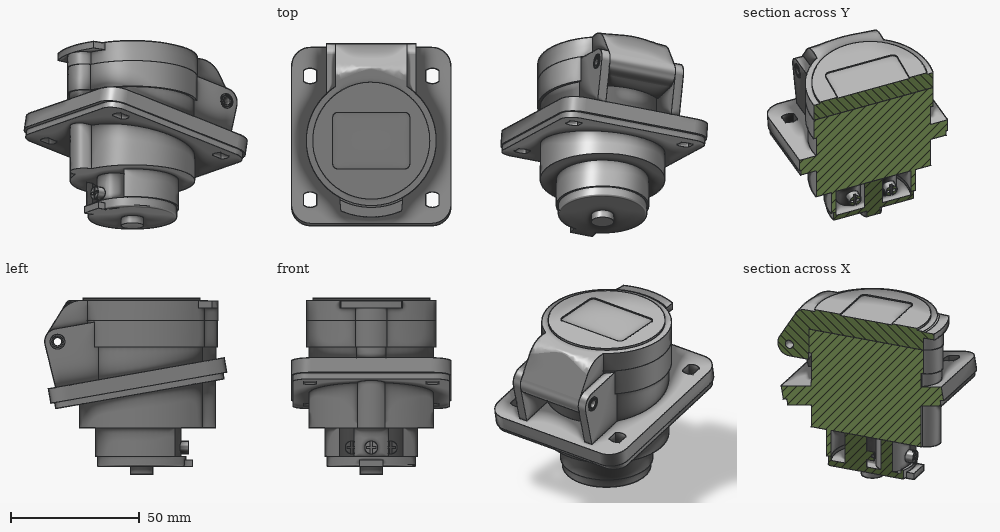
import cadquery as cq
import math


plate_bottom_z = 3.0
plate_top_z = 7.0
neck_top_z = 18.1
collar_bottom_z = 49.5
collar_top_z = 59.75
lid_top_z = 67.65
total_height = 68.5

body_dia = 48.5
collar_dia = 50.5
neck_dia = 36.0
neck_bore_dia = 32.0
neck_opening_width = 24.8

key_center_y = -23.35
lower_key_radius = 5.4
upper_key_radius = 5.65
collar_key_radius = 6.15

flange_tilt = math.radians(10)
flange_width = 62.0
flange_length = 69.5
flange_thickness = 5.75
flange_corner_radius = 7.5
flange_front_y = -33.13
flange_axis_z = 39.71
gasket_thickness = 2.4
gasket_side_inset = 0.5
gasket_end_inset = 1.5
gasket_width = flange_width - 2 * gasket_side_inset
gasket_length = flange_length - 2 * gasket_end_inset
gasket_corner_radius = 6.0

mount_spacing_x = 47.5
mount_spacing_y = 48.1
mount_center_y = 1.1
mount_slot_width = 5.1
mount_slot_length = 5.9
mount_slot_side = 4.2

hinge_y = 32.7
hinge_z = 51.6
hinge_radius = 5.0
hinge_bore_dia = 3.25
hinge_boss_dia = 4.5
hinge_groove_dia = 5.75
hinge_groove_depth = 0.5
arm_width = 27.9
ear_thickness = 3.5
ear_outer_x = arm_width / 2 + ear_thickness
ear_front_y = 16.5
ear_root_depth = 2.0
ear_back_angle = math.radians(13.8)

lid_face_dia = 45.5
label_width = 30.0
label_height = 22.0
label_corner_radius = 2.0
label_depth = 0.5
lid_key_center_y = -23.6
tab_radius = 29.75
tab_bottom_z = 64.7
tab_top_z = 67.4
tab_ramp_radius = 26.0
tab_root_half_width = 12.2
tab_tip_half_width = 11.6
arm_slope = math.radians(58.3)
arm_blend_side_radius = 10.0
arm_blend_middle_radius = 2.0

plate_dia = 34.5
plate_rim_radius = 0.75
plate_recess_dia = 32.0
plate_recess_depth = 1.5
stub_dia = 8.75
catch_width = 9.3
catch_front_y = -19.8
catch_top_z = 5.6
contact_circle_radius = 8.75
earth_tube_dia = 13.25
line_tube_dia = 9.75
contact_angle = math.radians(120)
screw_dia = 5.0
screw_z = 10.45
screw_protrusion = 2.9
screw_slot_length = 3.7
screw_slot_width = 0.95
screw_slot_depth = 1.0


def cylinder(diameter, bottom_z, top_z, y=0.0, x=0.0):
    disc = cq.Workplane("XY", origin=(x, y, bottom_z)).circle(diameter / 2)
    return disc.extrude(top_z - bottom_z)


def hinge_cylinder(diameter, length, start_x):
    return cq.Workplane("YZ", origin=(start_x, hinge_y, hinge_z)).circle(diameter / 2).extrude(length)


def on_hinge_circle(angle):
    """Point (y, z) on the hinge knuckle, with the angle measured from +Y towards +Z."""
    return hinge_y + hinge_radius * math.cos(angle), hinge_z + hinge_radius * math.sin(angle)


def make_flange():
    sin_tilt = math.sin(flange_tilt)
    cos_tilt = math.cos(flange_tilt)
    top_front_y = flange_front_y + flange_thickness * sin_tilt
    center_y = top_front_y + flange_length / 2 * cos_tilt
    center_z = flange_axis_z - center_y * math.tan(flange_tilt)
    top_face = cq.Plane(origin=(0, center_y, center_z), xDir=(1, 0, 0), normal=(0, sin_tilt, cos_tilt))
    flange = (
        cq.Workplane(top_face)
        .rect(flange_width, flange_length)
        .extrude(-flange_thickness)
        .edges(cq.selectors.ParallelDirSelector(top_face.zDir))
        .fillet(flange_corner_radius)
    )
    gasket = (
        cq.Workplane(top_face)
        .workplane(offset=-flange_thickness)
        .rect(gasket_width, gasket_length)
        .extrude(-gasket_thickness)
        .edges(cq.selectors.ParallelDirSelector(top_face.zDir))
        .fillet(gasket_corner_radius)
    )
    return flange.union(gasket)


def make_mount_slots():
    """Vertical slots with straight sides and gently arched ends."""
    half_width = mount_slot_width / 2
    half_side = mount_slot_side / 2
    half_length = mount_slot_length / 2
    slot = (
        cq.Workplane("XY")
        .moveTo(-half_width, -half_side)
        .threePointArc((0, -half_length), (half_width, -half_side))
        .lineTo(half_width, half_side)
        .threePointArc((0, half_length), (-half_width, half_side))
        .close()
        .extrude(total_height)
        .val()
    )
    return (
        cq.Workplane("XY", origin=(0, mount_center_y, 0))
        .rarray(mount_spacing_x, mount_spacing_y, 2, 2)
        .eachpoint(lambda place: slot.moved(place), combine="a")
    )


def make_ear(start_x):
    """One hinge ear, rounded about the hinge and rooted in the flange and the body."""
    top_tangent = on_hinge_circle(math.pi / 2 - flange_tilt)
    back_tangent = on_hinge_circle(-ear_back_angle)
    tilt_slope = math.tan(flange_tilt)
    top_front_z = top_tangent[1] + (top_tangent[0] - ear_front_y) * tilt_slope
    root_axis_z = flange_axis_z - ear_root_depth
    back_lean = math.tan(ear_back_angle)
    drop = (back_tangent[1] - root_axis_z + back_tangent[0] * tilt_slope) / (1 + back_lean * tilt_slope)
    back_root = (back_tangent[0] - drop * back_lean, back_tangent[1] - drop)
    return (
        cq.Workplane("YZ", origin=(start_x, 0, 0))
        .moveTo(ear_front_y, top_front_z)
        .lineTo(*top_tangent)
        .threePointArc(on_hinge_circle(flange_tilt), back_tangent)
        .lineTo(*back_root)
        .lineTo(ear_front_y, root_axis_z - ear_front_y * tilt_slope)
        .close()
        .extrude(ear_thickness)
    )


def make_hinge_groove(start_x):
    groove = hinge_cylinder(hinge_groove_dia, hinge_groove_depth, start_x)
    return groove.cut(hinge_cylinder(hinge_boss_dia, hinge_groove_depth, start_x))


def make_neck():
    neck = cylinder(neck_dia, plate_top_z, neck_top_z)
    bore = cylinder(neck_bore_dia, plate_top_z, neck_top_z)
    opening = (
        cq.Workplane("XY", origin=(0, -neck_dia / 4, plate_top_z))
        .rect(neck_opening_width, neck_dia / 2)
        .extrude(neck_top_z - plate_top_z)
    )
    return neck.cut(bore).cut(opening)


def make_housing():
    housing = cylinder(body_dia, neck_top_z, collar_bottom_z)
    housing = housing.union(cylinder(collar_dia, collar_bottom_z, collar_top_z))
    housing = housing.union(cylinder(2 * lower_key_radius, neck_top_z, flange_axis_z, key_center_y))
    housing = housing.union(cylinder(2 * upper_key_radius, flange_axis_z, collar_bottom_z, key_center_y))
    housing = housing.union(cylinder(2 * collar_key_radius, collar_bottom_z, collar_top_z, key_center_y))
    housing = housing.union(make_flange().cut(make_mount_slots()))
    for start_x in (-ear_outer_x, arm_width / 2):
        housing = housing.union(make_ear(start_x))
    housing = housing.cut(hinge_cylinder(hinge_bore_dia, 2 * ear_outer_x, -ear_outer_x))
    for start_x in (-ear_outer_x, ear_outer_x - hinge_groove_depth):
        housing = housing.cut(make_hinge_groove(start_x))
    return housing.union(make_neck())


def make_arm():
    """Hinge arm with a crest blend that is wide at both sides and narrow in the middle."""
    slope_tangent = on_hinge_circle(math.pi / 2 - arm_slope)
    crest_y = slope_tangent[0] - (lid_top_z - slope_tangent[1]) / math.tan(arm_slope)
    half_width = arm_width / 2
    half_arm = (
        cq.Workplane("YZ")
        .moveTo(0, hinge_z - hinge_radius)
        .lineTo(hinge_y, hinge_z - hinge_radius)
        .threePointArc(on_hinge_circle(0), slope_tangent)
        .lineTo(crest_y, lid_top_z)
        .lineTo(0, lid_top_z)
        .close()
        .extrude(half_width)
    )
    arm = half_arm.union(half_arm.mirror("YZ"), clean=False)
    crest_point = (half_width / 2, crest_y, lid_top_z)
    crest = arm.edges(cq.selectors.NearestToPointSelector(crest_point)).val()
    blend = cq.occ_impl.shapes.BRepFilletAPI_MakeFillet(arm.val().wrapped)
    blend.Add(crest.wrapped)
    crest_radii = (
        (-half_width, arm_blend_side_radius),
        (0, arm_blend_middle_radius),
        (half_width, arm_blend_side_radius),
    )
    for x, radius in crest_radii:
        vertex = arm.vertices(cq.selectors.NearestToPointSelector((x, crest_y, lid_top_z))).val()
        blend.SetRadius(radius, 1, vertex.wrapped)
    arm = cq.Workplane(cq.Shape.cast(blend.Shape())).clean()
    arm = arm.cut(cylinder(collar_dia, 0, collar_top_z))
    return arm.cut(hinge_cylinder(hinge_bore_dia, arm_width, -half_width))


def make_tab():
    """Finger tab: a ring segment with tapered sides and a short ramp up to the lid's rim."""
    lid_radius = collar_dia / 2
    ring = (
        cq.Workplane("XZ")
        .polyline(
            [
                (0, tab_bottom_z),
                (tab_radius, tab_bottom_z),
                (tab_radius, tab_top_z),
                (tab_ramp_radius, tab_top_z),
                (lid_radius, lid_top_z),
                (0, lid_top_z),
            ]
        )
        .close()
        .revolve(360, (0, 0, 0), (0, 1, 0))
    )
    root_y = -math.sqrt(tab_ramp_radius**2 - tab_root_half_width**2)
    outline = (
        cq.Workplane("XY")
        .polyline(
            [
                (-tab_root_half_width, 0),
                (-tab_root_half_width, root_y),
                (-tab_tip_half_width, -tab_radius),
                (tab_tip_half_width, -tab_radius),
                (tab_root_half_width, root_y),
                (tab_root_half_width, 0),
            ]
        )
        .close()
        .extrude(total_height)
    )
    return ring.intersect(outline)


def make_lid():
    lid = cylinder(collar_dia, collar_top_z, lid_top_z)
    lid = lid.union(make_arm())
    lid = lid.union(cylinder(2 * collar_key_radius, collar_top_z, tab_bottom_z, lid_key_center_y))
    lid = lid.union(make_tab())
    lid = lid.union(cylinder(lid_face_dia, lid_top_z, total_height))
    label = (
        cq.Workplane("XY", origin=(0, 0, total_height))
        .rect(label_width, label_height)
        .extrude(-label_depth)
        .edges("|Z")
        .fillet(label_corner_radius)
    )
    return lid.cut(label)


def make_contact(angle, tube_dia):
    """A vertical contact tube with a cross-slotted clamping screw facing -Y."""
    x = contact_circle_radius * math.sin(angle)
    y = -contact_circle_radius * math.cos(angle)
    tube = cylinder(tube_dia, plate_top_z - plate_recess_depth, neck_top_z, y, x)
    screw_length = tube_dia / 2 + screw_protrusion
    screw = cq.Workplane("XZ", origin=(x, y, screw_z)).circle(screw_dia / 2).extrude(screw_length)
    head = cq.Workplane("XZ", origin=(x, y - screw_length, screw_z))
    for slot_size in ((screw_slot_length, screw_slot_width), (screw_slot_width, screw_dia)):
        screw = screw.cut(head.rect(*slot_size).extrude(-screw_slot_depth))
    return tube.union(screw)


def make_insert():
    insert = cylinder(plate_dia, plate_bottom_z, plate_top_z).faces("<Z").fillet(plate_rim_radius)
    insert = insert.cut(cylinder(plate_recess_dia, plate_top_z - plate_recess_depth, plate_top_z))
    insert = insert.union(cylinder(stub_dia, 0, plate_bottom_z))
    catch_back_y = -plate_recess_dia / 2
    catch = cq.Workplane("XY", origin=(0, 0, plate_bottom_z)).center(0, (catch_front_y + catch_back_y) / 2)
    catch = catch.rect(catch_width, catch_back_y - catch_front_y).extrude(catch_top_z - plate_bottom_z)
    insert = insert.union(catch)
    insert = insert.union(make_contact(0, earth_tube_dia))
    for angle in (-contact_angle, contact_angle):
        insert = insert.union(make_contact(angle, line_tube_dia))
    return insert


housing = make_housing()
lid = make_lid()
insert = make_insert()

result = cq.Compound.makeCompound([housing.val(), lid.val(), insert.val()])